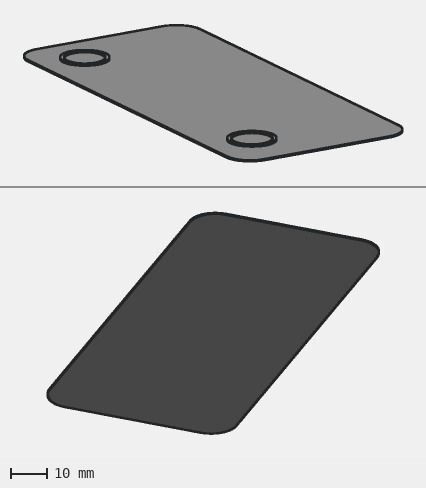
import cadquery as cq

plate_length = 119.6
plate_width = 55.4
plate_thickness = 0.4
corner_radius = 7.5

total_height = 0.8
rim_outer_radius = 6.8
rim_inner_radius = 5.7
left_rim_x = -45.3
right_rim_x = 42.6
rim_y = -13.6


def make_plate():
    """Flat plate resting on Z = 0, centred in X and Y."""
    plate = cq.Workplane("XY").box(
        plate_length, plate_width, plate_thickness, centered=(True, True, False)
    )
    return plate.edges("|Z").fillet(corner_radius)


def make_rim(center_x):
    """Coin rim, built from the plate bottom so that it fuses with the plate."""
    return (
        cq.Workplane("XY")
        .center(center_x, rim_y)
        .circle(rim_outer_radius)
        .circle(rim_inner_radius)
        .extrude(total_height)
    )


result = make_plate()
for rim_x in (left_rim_x, right_rim_x):
    result = result.union(make_rim(rim_x))